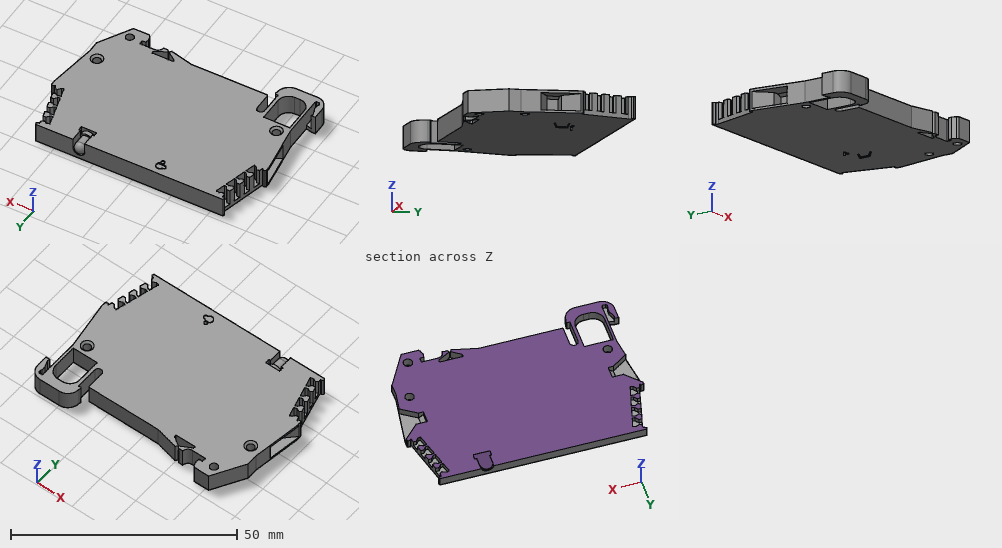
import cadquery as cq
import math

thickness = 5.0
mid_z = thickness / 2
mid_x = 28.15
top_y = 39.05
base_y = 4.95

shoulder_x = 0.65
shoulder_y = 26.3
taper_start_y = 24.8
wall_x = 2.5
taper_end_y = 12.35

notch_count = 4
notch_pitch_x = -0.795
notch_pitch_y = -2.98
notch_floor_z = 1.05

hook_top_y = 5.85
hook_lip_x = 1.05
hook_radius = 2.85
hook_end_radius = 3.1
hook_end_x = 11.4
hook_slot_floor_z = 1.05
slit_left_x = 10.75
slit_right_x = 12.65
slit_top_y = 10.6
slit_corner_radius = 0.2

window_left_x = 3.15
window_right_x = 9.85
window_top_y = 11.6
window_bottom_y = 2.6
window_radius = 2.65

rivet_y = 13.95
rivet_x = 5.2
rivet_diameter = 1.95
rivet_rim_diameter = 3.0
pin_hole_x = 48.4
pin_hole_y = 4.3
pin_hole_diameter = 2.0

entry_floor_z = 0.5
entry_ceiling_z = 4.4
entry_top_y = 25.55
entry_bottom_y = 16.75
entry_seat_top_y = 22.05
entry_seat_bottom_y = 19.2
entry_slant_end_x = 4.1
entry_seat_x = 5.55
entry_throat_depth = 1.1
entry_throat_floor_z = 1.2
entry_throat_ceiling_z = 3.9

mark_x = 21.7
mark_y = 36.6
mark_radius = 0.95
mark_depth = 0.2
mark_step_y = 35.95
mark_step_depth = 0.45
mark_lobe_x = 20.7
mark_lobe_radius = 0.5
mark_dot_y = 35.35
mark_dot_radius = 0.45
mark_dot_depth = 0.15

lamp_x = 41.05
lamp_base_y = 34.6
lamp_flange_diameter = 3.9
lamp_flange_height = 1.1
lamp_diameter = 3.0
lamp_height = 5.0

lead_x = 42.1
lead_width = 0.4
lead_thickness = 0.2
lead_drop = 0.95
lead_top_y = 26.8
lead_bottom_y = 23.3
lead_bend_run = 0.45
peg_x = 38.8
peg_y = 28.15
peg_diameter = 0.4
peg_drop = 0.8
peg_foot_end_x = 40.2
peg_foot_drop = 0.15


def mirror_x(points):
    """Points mirrored to the opposite side of the housing, in reverse order."""
    return [(2 * mid_x - x, y) for x, y in reversed(points)]


def prism(points, z_low, z_high):
    """Upright prism over a closed polygon."""
    return cq.Workplane("XY", origin=(0, 0, z_low)).polyline(points).close().extrude(z_high - z_low)


def cylinder(x, y, radius, z_low, z_high):
    """Upright cylinder."""
    return cq.Workplane("XY", origin=(x, y, z_low)).circle(radius).extrude(z_high - z_low)


def both_sides(body):
    """A left-hand cutter together with its mirror image."""
    return body.union(body.mirror("YZ", (mid_x, 0, 0)))


def housing_plate():
    left_side = [
        (wall_x, taper_end_y),
        (shoulder_x, taper_start_y),
        (shoulder_x, 26.05),
        (0.85, shoulder_y),
        (1.4, shoulder_y),
        (1.5, 26.05),
        (1.65, 26.05),
        (4.7, 37.7),
        (4.7, 38.3),
        (4.4, 38.3),
        (4.0, 38.55),
        (4.2, top_y),
    ]
    rail_foot = [
        (53.85, 9.55),
        (49.15, 1.45),
        (45.1, 1.45),
        (44.75, 1.85),
        (44.4, 2.9),
        (44.5, 3.9),
        (45.45, 3.9),
        (45.45, base_y),
    ]
    heel_start = (41.8, base_y)
    heel_middle = (40.75, 4.55)
    heel_end = (40.25, 3.5)
    latch = [
        (39.05, 3.5),
        (38.7, 4.05),
        (41.6, 5.7),
        (41.6, 6.2),
        (36.3, 6.2),
        (36.3, 5.7),
        (38.55, 4.05),
        (38.1, 3.5),
        (32.2, base_y),
    ]
    slit_radius = (slit_right_x - slit_left_x) / 2
    diagonal = math.sqrt(0.5)
    right_arc_x = hook_end_x - hook_end_radius

    outline = cq.Workplane("XY").moveTo(wall_x, taper_end_y)
    for x, y in left_side[1:] + mirror_x(left_side) + rail_foot + [heel_start]:
        outline = outline.lineTo(x, y)
    outline = outline.threePointArc(heel_middle, heel_end)
    for x, y in latch + [(slit_right_x, base_y), (slit_right_x, slit_top_y - slit_radius)]:
        outline = outline.lineTo(x, y)
    outline = outline.threePointArc(
        (slit_left_x + slit_radius, slit_top_y),
        (slit_left_x, slit_top_y - slit_radius),
    )
    for x, y in [(slit_left_x, 3.85), (11.35, 3.85), (11.6, 3.55), (hook_end_x, hook_end_radius)]:
        outline = outline.lineTo(x, y)
    outline = outline.threePointArc(
        (right_arc_x + hook_end_radius * diagonal, hook_end_radius * (1 - diagonal)),
        (right_arc_x, 0),
    )
    outline = outline.lineTo(hook_radius, 0).threePointArc(
        (hook_radius * (1 - diagonal), hook_radius * (1 - diagonal)),
        (0, hook_radius),
    )
    outline = outline.lineTo(0, hook_top_y).lineTo(hook_lip_x, hook_top_y).lineTo(wall_x, 5.45).close()
    plate = outline.extrude(thickness)
    slit_corner = cq.selectors.NearestToPointSelector((slit_right_x, base_y, mid_z))
    return plate.edges(slit_corner).fillet(slit_corner_radius)


def grip_notches():
    """Blind notches with wavy flanks, open to the upper face and the sloping side."""
    first_notch = [
        (3.9, 37.85),
        (4.6, 37.55),
        (5.25, 37.1),
        (6.05, 37.5),
        (6.85, 37.35),
        (6.2, 34.95),
        (5.6, 35.1),
        (5.0, 35.9),
        (3.9, 35.9),
    ]
    notches = cq.Workplane("XY")
    for i in range(notch_count):
        moved = [(x + i * notch_pitch_x, y + i * notch_pitch_y) for x, y in first_notch]
        notches = notches.union(prism(moved, notch_floor_z, thickness))
    return both_sides(notches)


def hook_slot():
    """Blind slot between the hook and the side wall."""
    points = [
        (wall_x, hook_top_y),
        (hook_lip_x, hook_top_y),
        (0.9, 5.25),
        (1.55, 3.45),
        (1.55, 2.45),
        (1.4, 2.1),
        (1.4, 1.6),
        (1.6, 1.4),
        (2.35, 1.4),
        (wall_x, 1.55),
    ]
    return prism(points, hook_slot_floor_z, thickness)


def spring_window():
    """Through opening with two rounded lower corners."""
    window = (
        cq.Workplane("XY")
        .rect(window_right_x - window_left_x, window_top_y - window_bottom_y)
        .extrude(thickness)
        .edges("|Z and <Y")
        .fillet(window_radius)
    )
    return window.translate(((window_left_x + window_right_x) / 2, (window_top_y + window_bottom_y) / 2, 0))


def rivet_holes():
    """Through holes with a conical rim in the upper face."""
    rim_radius = rivet_rim_diameter / 2
    hole_radius = rivet_diameter / 2
    rim_depth = rim_radius - hole_radius
    profile = [
        (0, 0),
        (hole_radius, 0),
        (hole_radius, thickness - rim_depth),
        (rim_radius, thickness),
        (0, thickness),
    ]
    hole = cq.Workplane("XZ").polyline(profile).close().revolve(360, (0, 0, 0), (0, 1, 0))
    return both_sides(hole.translate((rivet_x, rivet_y, 0)))


def wire_entries():
    """Funnel in each side wall that narrows towards a rectangular seat."""
    mouth = [
        (shoulder_x, entry_top_y),
        (entry_slant_end_x, entry_seat_top_y),
        (entry_seat_x, entry_seat_top_y),
        (entry_seat_x, entry_seat_bottom_y),
        (1.9, entry_bottom_y),
        (0, entry_bottom_y),
        (0, entry_top_y),
    ]
    funnel = prism(mouth, entry_floor_z, entry_ceiling_z)
    seat_x_end = entry_seat_x + entry_throat_depth
    throat_profile = [
        (entry_seat_x, entry_floor_z),
        (entry_seat_x, entry_ceiling_z),
        (seat_x_end, entry_throat_ceiling_z),
        (seat_x_end, entry_throat_floor_z),
    ]
    throat = (
        cq.Workplane("XZ", origin=(0, entry_seat_top_y, 0))
        .polyline(throat_profile)
        .close()
        .extrude(entry_seat_top_y - entry_seat_bottom_y)
    )
    return both_sides(funnel.union(throat))


def marker_recess():
    """Shallow disc with a side lobe and a dot, deeper in the segment below a straight step."""
    disc = cylinder(mark_x, mark_y, mark_radius, thickness - mark_depth, thickness)
    lobe = cylinder(mark_lobe_x, mark_y, mark_lobe_radius, thickness - mark_depth, thickness)
    dot = cylinder(mark_x, mark_dot_y, mark_dot_radius, thickness - mark_dot_depth, thickness)
    segment_height = mark_step_y - (mark_y - mark_radius)
    step_block = cq.Workplane("XY").box(
        2 * mark_radius, segment_height, mark_step_depth, centered=(True, False, False)
    ).translate((mark_x, mark_step_y - segment_height, thickness - mark_step_depth))
    deep_disc = cylinder(mark_x, mark_y, mark_radius, thickness - mark_step_depth, thickness)
    return disc.union(lobe).union(dot).union(deep_disc.intersect(step_block))


def lamp_pocket():
    """Seat for the lower half of the lamp, open straight up and out of the lamp edge."""
    flange_top_y = lamp_base_y + lamp_flange_height
    flange_seat = (
        cq.Workplane("XZ", origin=(lamp_x, flange_top_y, mid_z))
        .circle(lamp_flange_diameter / 2)
        .extrude(lamp_flange_height)
    )
    body_seat = (
        cq.Workplane("XZ", origin=(lamp_x, top_y, mid_z))
        .circle(lamp_diameter / 2)
        .extrude(top_y - flange_top_y)
    )
    flange_slot = cq.Workplane("XY", origin=(0, 0, mid_z)).box(
        lamp_flange_diameter, lamp_flange_height, mid_z, centered=(True, False, False)
    ).translate((lamp_x, lamp_base_y, 0))
    body_slot = cq.Workplane("XY", origin=(0, 0, mid_z)).box(
        lamp_diameter, top_y - flange_top_y, mid_z, centered=(True, False, False)
    ).translate((lamp_x, flange_top_y, 0))
    return flange_seat.union(body_seat).union(flange_slot).union(body_slot)


def underside_peg():
    """Small peg with a flat foot beside it, standing out of the lower face."""
    peg = cylinder(peg_x, peg_y, peg_diameter / 2, -peg_drop, 0)
    foot = cq.Workplane("XY").box(
        peg_foot_end_x - peg_x, peg_diameter, peg_foot_drop, centered=(False, True, False)
    ).translate((peg_x, peg_y, -peg_foot_drop))
    return peg.union(foot)


def make_housing():
    housing = housing_plate()
    pin_hole = cylinder(pin_hole_x, pin_hole_y, pin_hole_diameter / 2, 0, thickness)
    cutters = [
        grip_notches(),
        hook_slot(),
        spring_window(),
        rivet_holes(),
        pin_hole,
        wire_entries(),
        marker_recess(),
        lamp_pocket(),
    ]
    for cutter in cutters:
        housing = housing.cut(cutter)
    return housing.union(underside_peg()).solids()


def make_lamp():
    """Flanged cylinder with a domed end, lying along Y."""
    radius = lamp_diameter / 2
    flange_radius = lamp_flange_diameter / 2
    dome_start = lamp_height - radius
    profile = (
        cq.Workplane("ZY")
        .lineTo(flange_radius, 0)
        .lineTo(flange_radius, lamp_flange_height)
        .lineTo(radius, lamp_flange_height)
        .lineTo(radius, dome_start)
        .threePointArc(
            (radius * math.sqrt(0.5), dome_start + radius * math.sqrt(0.5)),
            (0, lamp_height),
        )
        .close()
    )
    lamp = profile.revolve(360, (0, 0, 0), (0, 1, 0))
    return lamp.translate((lamp_x, lamp_base_y, mid_z))


def make_lead():
    """Bent strip with sloping ends that rest on the lower face of the housing."""
    inner_run = lead_bend_run * (lead_drop - lead_thickness) / lead_drop
    profile = [
        (lead_bottom_y, 0),
        (lead_bottom_y + lead_bend_run, -lead_drop),
        (lead_top_y - lead_bend_run, -lead_drop),
        (lead_top_y, 0),
        (lead_top_y - lead_thickness, 0),
        (lead_top_y - lead_thickness - inner_run, lead_thickness - lead_drop),
        (lead_bottom_y + lead_thickness + inner_run, lead_thickness - lead_drop),
        (lead_bottom_y + lead_thickness, 0),
    ]
    strip = cq.Workplane("YZ").polyline(profile).close().extrude(lead_width)
    return strip.translate((lead_x - lead_width / 2, 0, 0))


housing = make_housing()
lamp = make_lamp()
lead = make_lead()
result = cq.Compound.makeCompound([housing.val(), lamp.val(), lead.val()])